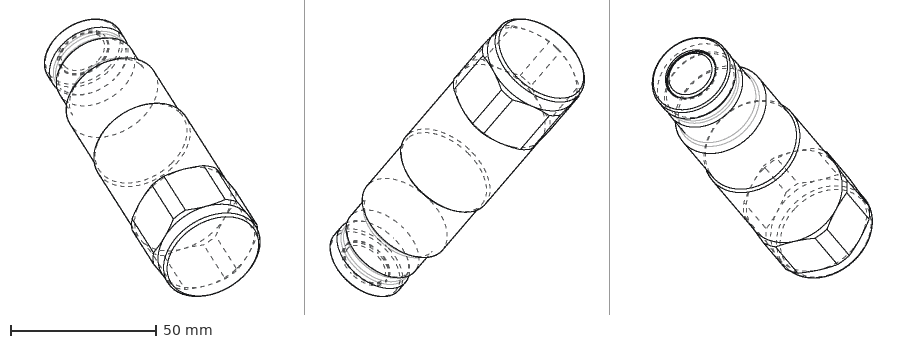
import cadquery as cq
import math

length = 117.4
groove_start = 5.4
groove_end = 11.5
shoulder_end = 26.3
barrel_start = 53.4
hex_start = 90.2
hex_end = 111.4

nose_radius = 14.7
groove_radius = 13.3
sleeve_radius = 17.1
across_flats = 36.0
barrel_radius = across_flats / 2
hex_corner_radius = 19.5

nose_chamfer = 0.7
groove_blend = 1.4
shoulder_blend = 2.2
rear_chamfer = 0.9
hex_chamfer_angle = 30.0

valve_radius = 8.1
valve_seat_radius = 9.4
valve_edge_chamfer = 0.9

SIN_45 = math.sin(math.radians(45))


def blend_points(blend_radius):
    """Axial and radial offsets of the middle and end of a 45 degree tangent arc."""
    middle = math.radians(22.5)
    middle_offset = (blend_radius * math.sin(middle), blend_radius * (1 - math.cos(middle)))
    end_offset = (blend_radius * SIN_45, blend_radius * (1 - SIN_45))
    return middle_offset, end_offset


def make_body():
    """Turned body: nose with groove, sleeve and barrel."""
    (groove_mid_x, groove_mid_r), (groove_out_x, groove_out_r) = blend_points(groove_blend)
    slope = nose_radius - groove_radius - groove_out_r
    left_slope_x = groove_start + slope
    right_slope_x = groove_end - slope
    floor_start = left_slope_x + groove_out_x
    floor_end = right_slope_x - groove_out_x
    slope_radius = nose_radius - slope

    (shoulder_mid_x, shoulder_mid_r), (shoulder_out_x, shoulder_out_r) = blend_points(shoulder_blend)
    shoulder_slope_radius = nose_radius + shoulder_out_r
    shoulder_slope_x = shoulder_end - (sleeve_radius - shoulder_slope_radius)
    shoulder_start = shoulder_slope_x - shoulder_out_x
    sleeve_end = barrel_start - (barrel_radius - sleeve_radius)

    profile = (
        cq.Workplane("XY")
        .moveTo(0, 0)
        .lineTo(0, nose_radius - nose_chamfer)
        .lineTo(nose_chamfer, nose_radius)
        .lineTo(groove_start, nose_radius)
        .lineTo(left_slope_x, slope_radius)
        .threePointArc(
            (floor_start - groove_mid_x, groove_radius + groove_mid_r),
            (floor_start, groove_radius),
        )
        .lineTo(floor_end, groove_radius)
        .threePointArc(
            (floor_end + groove_mid_x, groove_radius + groove_mid_r),
            (right_slope_x, slope_radius),
        )
        .lineTo(groove_end, nose_radius)
        .lineTo(shoulder_start, nose_radius)
        .threePointArc(
            (shoulder_start + shoulder_mid_x, nose_radius + shoulder_mid_r),
            (shoulder_slope_x, shoulder_slope_radius),
        )
        .lineTo(shoulder_end, sleeve_radius)
        .lineTo(sleeve_end, sleeve_radius)
        .lineTo(barrel_start, barrel_radius)
        .lineTo(length - rear_chamfer, barrel_radius)
        .lineTo(length, barrel_radius - rear_chamfer)
        .lineTo(length, 0)
        .close()
    )
    return profile.revolve(360, (0, 0, 0), (1, 0, 0))


def make_hex():
    """Wrench hexagon with flats facing +Z and -Z and coned, rounded corners."""
    across_corners = across_flats / math.cos(math.radians(30))
    prism = (
        cq.Workplane("YZ", origin=(hex_start, 0, 0))
        .polygon(6, across_corners)
        .extrude(hex_end - hex_start)
    )
    cone_length = (hex_corner_radius - barrel_radius) * math.tan(math.radians(hex_chamfer_angle))
    envelope = (
        cq.Workplane("XY")
        .moveTo(hex_start, 0)
        .lineTo(hex_start, barrel_radius)
        .lineTo(hex_start + cone_length, hex_corner_radius)
        .lineTo(hex_end - cone_length, hex_corner_radius)
        .lineTo(hex_end, barrel_radius)
        .lineTo(hex_end, 0)
        .close()
        .revolve(360, (0, 0, 0), (1, 0, 0))
    )
    return prism.intersect(envelope)


def make_valve_seat():
    """Flat-bottomed ring recess around the chamfered, flush valve insert."""
    return (
        cq.Workplane("XY")
        .moveTo(0, valve_radius)
        .lineTo(0, valve_seat_radius)
        .lineTo(valve_edge_chamfer, valve_seat_radius)
        .lineTo(valve_edge_chamfer, valve_radius + valve_edge_chamfer)
        .close()
        .revolve(360, (0, 0, 0), (1, 0, 0))
    )


result = make_body().union(make_hex()).cut(make_valve_seat())